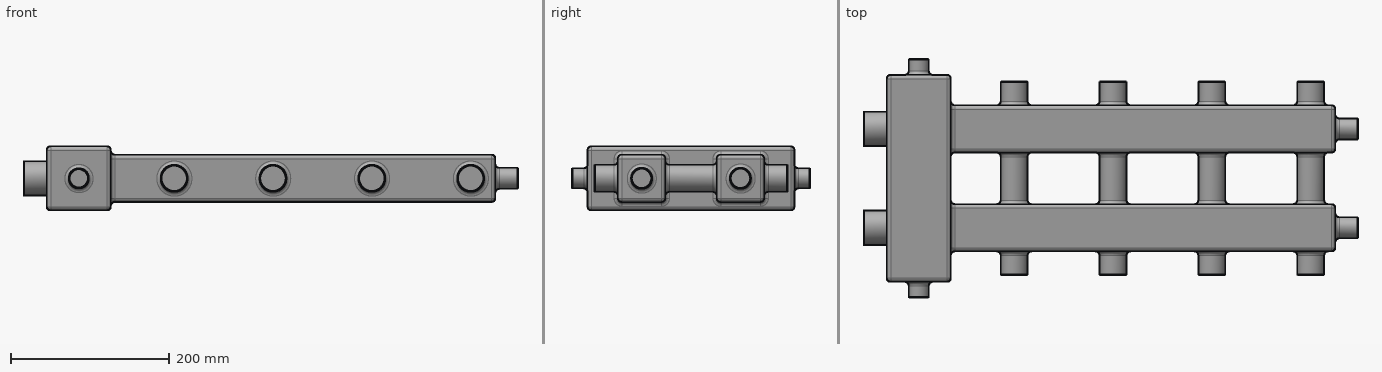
import cadquery as cq
import math

overall_length = 625.0
overall_width = 302.0
edge_radius = 5.0
weld_radius = 5.0
tip_chamfer = 1.0

header_width = 81.0
header_length = 262.0
inlet_projection = 29.0
header_start = inlet_projection
header_end = header_start + header_width
header_middle = (header_start + header_end) / 2

rail_width = 60.0
rail_spacing = 125.0
outlet_projection = 29.0
rail_end = overall_length - outlet_projection
rail_length = rail_end - header_middle
rail_centres = (-rail_spacing / 2, rail_spacing / 2)

inlet_diameter = 44.0
outlet_diameter = 27.0
drain_diameter = 25.5
drain_projection = (overall_width - header_length) / 2
branch_diameter = 34.5
branch_projection = 30.0
branch_count = 4
branch_pitch = 125.0
first_branch_x = 190.0
branch_positions = [first_branch_x + i * branch_pitch for i in range(branch_count)]


def header():
    """Square box that carries the inlets, the drains and both rails."""
    box = cq.Workplane("XY").box(header_width, header_length, header_width)
    return box.edges().fillet(edge_radius).translate((header_middle, 0, 0))


def rail(y):
    """Square tube with rounded edges, buried at its root in the header."""
    tube = cq.Workplane("XY").box(rail_length, rail_width, rail_width)
    tube = tube.edges("|X or >X").fillet(edge_radius)
    return tube.translate((header_middle + rail_length / 2, y, 0))


def rail_root(y):
    """Selector for the edges where a rail meets the header face."""
    margin = 1.0
    reach = rail_width / 2 + margin
    return cq.selectors.BoxSelector(
        (header_end - margin, y - reach, -reach),
        (header_end + margin, y + reach, reach),
        boundingbox=True,
    )


def bead_profile(radius, length):
    """Half outline of a pipe from its wall at 0, flared by a concave weld bead."""
    bend = weld_radius * (1 - math.sqrt(0.5))
    return (
        cq.Workplane("XY")
        .lineTo(radius + weld_radius, 0)
        .threePointArc((radius + bend, bend), (radius, weld_radius))
        .lineTo(radius, length)
    )


def stub(diameter, length):
    """Welded pipe stub along +Y with a chamfered free end; its root is at the origin."""
    radius = diameter / 2
    outline = bead_profile(radius, length - tip_chamfer).lineTo(radius - tip_chamfer, length)
    return outline.lineTo(0, length).close().revolve(360, (0, 0, 0), (0, 1, 0))


def cross_pipe():
    """Pipe along +Y that joins the two rails, with a weld bead at both ends."""
    half_length = (rail_spacing - rail_width) / 2
    outline = bead_profile(branch_diameter / 2, half_length).lineTo(0, half_length).close()
    half = outline.revolve(360, (0, 0, 0), (0, 1, 0)).translate((0, -half_length, 0))
    return half.union(half.mirror("XZ"))


result = header()
for y in rail_centres:
    result = result.union(rail(y))
for y in rail_centres:
    result = result.edges(rail_root(y)).fillet(weld_radius)

inlet = cq.Workplane("YZ").circle(inlet_diameter / 2).extrude(header_middle)
outlet = stub(outlet_diameter, outlet_projection).rotate((0, 0, 0), (0, 0, 1), -90)
for y in rail_centres:
    result = result.union(inlet.translate((0, y, 0)))
    result = result.union(outlet.translate((rail_end, y, 0)))

drain = stub(drain_diameter, drain_projection).translate((header_middle, header_length / 2, 0))
result = result.union(drain).union(drain.mirror("XZ"))

branch_root = (rail_spacing + rail_width) / 2
branch = stub(branch_diameter, branch_projection).translate((0, branch_root, 0))
branch_row = (branch, branch.mirror("XZ"), cross_pipe())
for x in branch_positions:
    for pipe in branch_row:
        result = result.union(pipe.translate((x, 0, 0)))